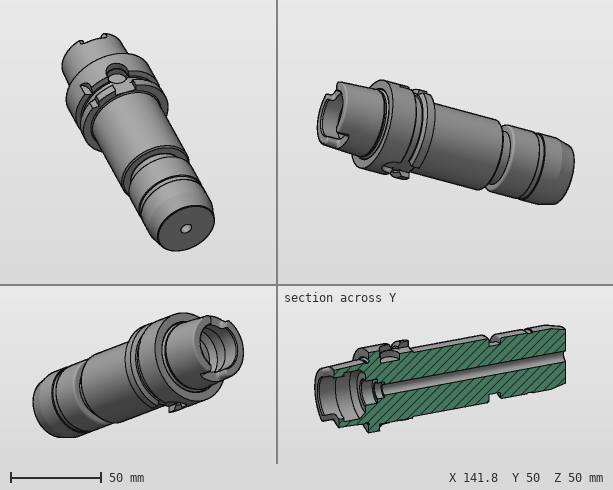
import cadquery as cq
import math

LENGTH = 141.8

SHANK_END_R = 35.9 / 2
SHANK_BASE_R = 38.1 / 2
SHANK_TAPER_END_X = 22.7
SHANK_END_ROUND = 1.0
RELIEF_R = 37.0 / 2
RELIEF_START_X = 23.5

FLANGE_R = 50.0 / 2
FLANGE_FRONT_X = 25.0
FLANGE_REAR_X = 51.0
RELIEF_END_X = 24.4
FACE_UNDERCUT_R = 39.3 / 2
FACE_UNDERCUT_X = RELIEF_END_X + FACE_UNDERCUT_R - RELIEF_R
FACE_UNDERCUT_MOUTH_R = FACE_UNDERCUT_R + FACE_UNDERCUT_X - FLANGE_FRONT_X
GROOVE_R = 21.4
GROOVE_START_X = 40.8
GROOVE_END_X = 45.0
GROOVE_WALL_R = 22.5
GROOVE_LEAN_ANGLE = 30
GROOVE_LEAN = (FLANGE_R - GROOVE_WALL_R) * math.tan(math.radians(GROOVE_LEAN_ANGLE))

BODY_R = 20.0
BODY_END_X = 96.4
BODY_BLEND = 0.7
BODY_CHAMFER = 0.9
NECK_COLLAR_R = 30.2 / 2
NECK_COLLAR_END_X = BODY_END_X + 0.3
NECK_R = 30.0 / 2

NUT_R = 38.0 / 2
NUT_START_X = 103.0
NUT_ROUND = 1.3
NUT_GROOVE_R = 37.0 / 2
NUT_GROOVE_START_X = 118.8
NUT_GROOVE_END_X = 122.4
NUT_GROOVE_SLOPE = 0.4
NUT_CONE_START_X = 133.2
NUT_END_R = 16.9
NUT_END_CHAMFER = 0.4

MOUTH_R = 26.7 / 2
MOUTH_CHAMFER_LENGTH = 1.0
BORE_R = 26.0 / 2
UNDERCUT_START_X = 10.5
UNDERCUT_R = 30.0 / 2
UNDERCUT_END_X = 19.9
BORE_FLOOR_R = 11.9
BORE_FLOOR_X = UNDERCUT_END_X + UNDERCUT_R - BORE_FLOOR_R
THREAD_R = 16.0 / 2
THREAD_CHAMFER = 0.7
THREAD_END_X = BORE_FLOOR_X + 7.1
TUBE_SEAT_R = 10.0 / 2
TUBE_SEAT_CHAMFER = 0.3
TUBE_SEAT_END_X = THREAD_END_X + 4.3
COOLANT_R = 6.4 / 2

KEYWAY_HALF_WIDTH = 10.5 / 2
SHOULDER_ROUND = 2.1
KEYWAY_LAND_Z = 16.3
KEYWAY_FLOOR_FILLET = 1.7
KEYWAY_MOUTH_FILLET = 0.9
TOP_KEYWAY_DEPTH = 4.4
BOTTOM_KEYWAY_DEPTH = 7.4

SLOT_R = 6.0
SLOT_CENTER_X = 37.7
SLOT_FLOOR_Z = 20.8
CHIP_HOLE_R = 11.0 / 2
CHIP_HOLE_FLOOR_Z = 17.0
NOTCH_WALL_Y = -15.7
NOTCH_FLOOR_Z = 15.6

CLEAR_Z = 28.4
SLACK = 0.1


def revolve_about_x(profile):
    return profile.close().revolve(360, (0, 0, 0), (1, 0, 0))


def turn_over(cutter):
    return cutter.rotate((0, 0, 0), (1, 0, 0), 180)


def shank_and_flange():
    profile = cq.Workplane("XY").polyline([
        (0, 0),
        (0, SHANK_END_R),
        (SHANK_TAPER_END_X, SHANK_BASE_R),
        (RELIEF_START_X, RELIEF_R),
        (RELIEF_END_X, RELIEF_R),
        (FACE_UNDERCUT_X, FACE_UNDERCUT_R),
        (FLANGE_FRONT_X, FACE_UNDERCUT_MOUTH_R),
        (FLANGE_FRONT_X, FLANGE_R),
        (GROOVE_START_X - GROOVE_LEAN, FLANGE_R),
        (GROOVE_START_X, GROOVE_WALL_R),
        (GROOVE_START_X, GROOVE_R),
        (GROOVE_END_X, GROOVE_R),
        (GROOVE_END_X, GROOVE_WALL_R),
        (GROOVE_END_X + GROOVE_LEAN, FLANGE_R),
        (FLANGE_REAR_X, FLANGE_R),
        (FLANGE_REAR_X, 0),
    ])
    return revolve_about_x(profile).faces("<X").edges().fillet(SHANK_END_ROUND)


def body_and_neck():
    profile = cq.Workplane("XY").polyline([
        (FLANGE_REAR_X, 0),
        (FLANGE_REAR_X, BODY_R + BODY_BLEND),
        (FLANGE_REAR_X + BODY_BLEND, BODY_R),
        (BODY_END_X - BODY_CHAMFER, BODY_R),
        (BODY_END_X, BODY_R - BODY_CHAMFER),
        (BODY_END_X, NECK_COLLAR_R),
        (NECK_COLLAR_END_X, NECK_COLLAR_R),
        (NECK_COLLAR_END_X, NECK_R),
        (NUT_START_X, NECK_R),
        (NUT_START_X, 0),
    ])
    return revolve_about_x(profile)


def chuck_nut():
    profile = cq.Workplane("XY").polyline([
        (NUT_START_X, 0),
        (NUT_START_X, NUT_R),
        (NUT_GROOVE_START_X, NUT_R),
        (NUT_GROOVE_START_X + NUT_GROOVE_SLOPE, NUT_GROOVE_R),
        (NUT_GROOVE_END_X - NUT_GROOVE_SLOPE, NUT_GROOVE_R),
        (NUT_GROOVE_END_X, NUT_R),
        (NUT_CONE_START_X, NUT_R),
        (LENGTH - NUT_END_CHAMFER, NUT_END_R),
        (LENGTH, NUT_END_R - NUT_END_CHAMFER),
        (LENGTH, 0),
    ])
    return revolve_about_x(profile).faces("<X").edges().fillet(NUT_ROUND)


def bore():
    profile = cq.Workplane("XY").polyline([
        (0, 0),
        (0, MOUTH_R),
        (MOUTH_CHAMFER_LENGTH, BORE_R),
        (UNDERCUT_START_X, BORE_R),
        (UNDERCUT_START_X, UNDERCUT_R),
        (UNDERCUT_END_X, UNDERCUT_R),
        (BORE_FLOOR_X, BORE_FLOOR_R),
        (BORE_FLOOR_X, THREAD_R),
        (BORE_FLOOR_X + THREAD_CHAMFER, THREAD_R - THREAD_CHAMFER),
        (THREAD_END_X, THREAD_R - THREAD_CHAMFER),
        (THREAD_END_X, TUBE_SEAT_R),
        (THREAD_END_X + TUBE_SEAT_CHAMFER, TUBE_SEAT_R - TUBE_SEAT_CHAMFER),
        (TUBE_SEAT_END_X, TUBE_SEAT_R - TUBE_SEAT_CHAMFER),
        (TUBE_SEAT_END_X, COOLANT_R),
        (LENGTH, COOLANT_R),
        (LENGTH, 0),
    ])
    return revolve_about_x(profile)


def wall_edges_at(x, half_width):
    """Selector for the keyway outline at a given X, leaving out its lower and outer ends."""
    return cq.selectors.BoxSelector(
        (x - SLACK, -half_width, SLACK),
        (x + SLACK, half_width, KEYWAY_LAND_Z + SLACK),
    )


def keyway(depth):
    """Cutter for a +Z keyway that flares over rounded shoulders onto flat lands."""
    shoulder_y = KEYWAY_HALF_WIDTH + SHOULDER_ROUND
    arc_start_z = KEYWAY_LAND_Z - SHOULDER_ROUND
    arc_reach = SHOULDER_ROUND * math.sqrt(0.5)
    arc_middle = (shoulder_y - arc_reach, arc_start_z + arc_reach)
    cutter = (
        cq.Workplane("YZ")
        .lineTo(KEYWAY_HALF_WIDTH, 0)
        .lineTo(KEYWAY_HALF_WIDTH, arc_start_z)
        .threePointArc(arc_middle, (shoulder_y, KEYWAY_LAND_Z))
        .lineTo(SHANK_BASE_R, KEYWAY_LAND_Z)
        .lineTo(SHANK_BASE_R, CLEAR_Z)
        .lineTo(0, CLEAR_Z)
        .mirrorY()
        .extrude(depth)
    )
    cutter = cutter.edges(wall_edges_at(depth, shoulder_y + SLACK)).fillet(KEYWAY_FLOOR_FILLET)

    plate = cq.Workplane("YZ").rect(2 * SHANK_BASE_R, 2 * CLEAR_Z).extrude(-1.4)
    plate = plate.intersect(cq.Workplane("XY").rect(LENGTH, LENGTH).extrude(CLEAR_Z))
    return cutter.union(plate).edges(wall_edges_at(0, SHANK_BASE_R - SLACK)).fillet(KEYWAY_MOUTH_FILLET)


def flange_slot(center_y, floor_z):
    """Upright cutter with a round front end, open toward the rear of the flange."""
    floor = cq.Workplane("XY", origin=(SLOT_CENTER_X, center_y, floor_z))
    height = CLEAR_Z - floor_z
    straight = floor.box(
        FLANGE_REAR_X - SLOT_CENTER_X, 2 * SLOT_R, height, centered=(False, True, False)
    )
    return straight.union(floor.circle(SLOT_R).extrude(height))


def chip_hole():
    floor = cq.Workplane("XY", origin=(SLOT_CENTER_X, 0, CHIP_HOLE_FLOOR_Z))
    return floor.circle(CHIP_HOLE_R).extrude(CLEAR_Z - CHIP_HOLE_FLOOR_Z)


flange_cutters = [
    flange_slot(0, SLOT_FLOOR_Z),
    turn_over(flange_slot(0, SLOT_FLOOR_Z)),
    flange_slot(NOTCH_WALL_Y - SLOT_R, NOTCH_FLOOR_Z),
    chip_hole(),
]
shank_cutters = [
    keyway(TOP_KEYWAY_DEPTH),
    turn_over(keyway(BOTTOM_KEYWAY_DEPTH)),
]

result = shank_and_flange().union(body_and_neck()).union(chuck_nut()).cut(bore())
for cutter in flange_cutters + shank_cutters:
    result = result.cut(cutter)